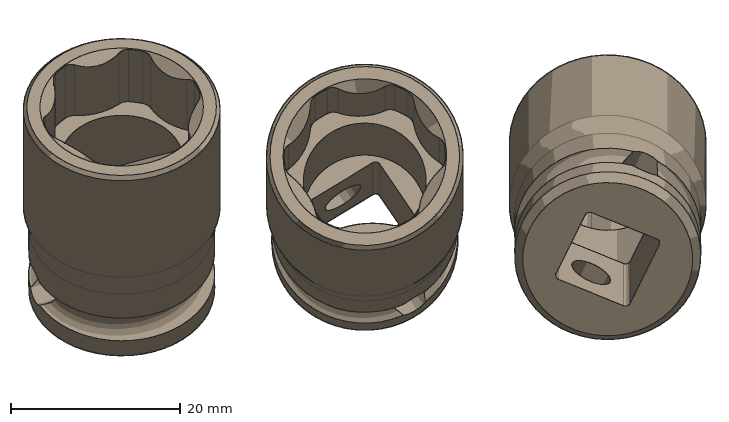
import cadquery as cq
import math

height = 32.0
head_radius = 11.65
shank_radius = 11.0
top_chamfer = 0.45
base_chamfer_height = 0.95
base_chamfer_width = 0.95
neck_top = 15.07
neck_bottom = 11.5

groove_z = 5.47
groove_floor_radius = 9.45
groove_arc_radius = 2.0
pin_hole_diameter = 5.0

lobe_count = 6
lobe_radius = 9.55
flank_crest_radius = 8.13
flank_arc_radius = 7.3
lobe_corner_fillet = 1.5
socket_depth = 9.0
lead_in_radius = 9.65
lead_in_angle = 30.0
relief_radius = 7.25
relief_floor = 11.52

drive_width = 9.6
drive_corner_fillet = 0.6


def turned_body():
    neck_height = neck_top - neck_bottom
    neck_step = head_radius - shank_radius
    neck_arc_radius = (neck_height**2 + neck_step**2) / (2 * neck_step)
    neck_mid_z = neck_bottom + neck_height / 2
    neck_mid_radius = (
        shank_radius + neck_arc_radius - math.sqrt(neck_arc_radius**2 - (neck_height / 2) ** 2)
    )
    groove_center_radius = groove_floor_radius + groove_arc_radius
    groove_half_width = math.sqrt(groove_arc_radius**2 - (groove_center_radius - shank_radius) ** 2)
    return (
        cq.Workplane("XZ")
        .lineTo(shank_radius - base_chamfer_width, 0)
        .lineTo(shank_radius, base_chamfer_height)
        .lineTo(shank_radius, groove_z - groove_half_width)
        .threePointArc((groove_floor_radius, groove_z), (shank_radius, groove_z + groove_half_width))
        .lineTo(shank_radius, neck_bottom)
        .threePointArc((neck_mid_radius, neck_mid_z), (head_radius, neck_top))
        .lineTo(head_radius, height - top_chamfer)
        .lineTo(head_radius - top_chamfer, height)
        .lineTo(0, height)
        .close()
        .revolve(360, (0, 0), (0, 1))
    )


def lobed_socket():
    floor_z = height - socket_depth
    socket = cq.Workplane("XY", origin=(0, 0, floor_z)).circle(lobe_radius).extrude(socket_depth)
    flanks = (
        cq.Workplane("XY", origin=(0, 0, floor_z))
        .polarArray(flank_crest_radius + flank_arc_radius, 0, 360, lobe_count)
        .circle(flank_arc_radius)
        .extrude(socket_depth)
    )
    return socket.cut(flanks).edges("|Z").fillet(lobe_corner_fillet)


def lead_in_cone():
    cone_depth = lead_in_radius * math.tan(math.radians(lead_in_angle))
    return (
        cq.Workplane("XZ")
        .moveTo(0, height - cone_depth)
        .lineTo(lead_in_radius, height)
        .lineTo(0, height)
        .close()
        .revolve(360, (0, 0), (0, 1))
    )


def relief_bore():
    return (
        cq.Workplane("XY", origin=(0, 0, relief_floor))
        .circle(relief_radius)
        .extrude(height - socket_depth - relief_floor)
    )


def square_drive():
    return (
        cq.Workplane("XY")
        .rect(drive_width, drive_width)
        .extrude(relief_floor)
        .edges("|Z")
        .fillet(drive_corner_fillet)
    )


def pin_hole():
    return (
        cq.Workplane("XZ", origin=(0, 0, groove_z))
        .circle(pin_hole_diameter / 2)
        .extrude(head_radius, both=True)
    )


result = (
    turned_body()
    .cut(lobed_socket())
    .cut(lead_in_cone())
    .cut(relief_bore())
    .cut(square_drive())
    .cut(pin_hole())
)